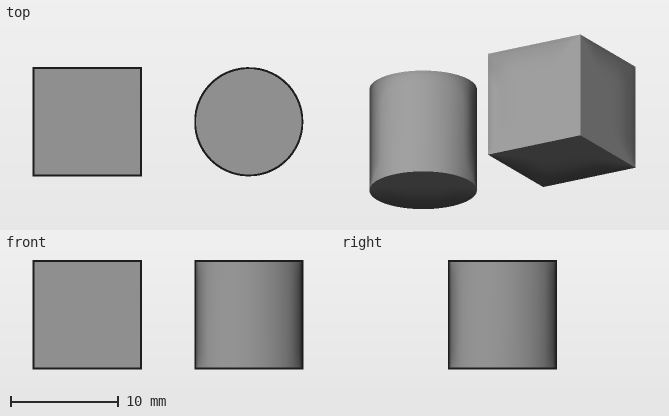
import cadquery as cq

body_size = 10.0
gap = 5.0

centre_spacing = body_size + gap


def make_cube():
    """Plain cube centred on the origin."""
    return cq.Workplane("XY").box(body_size, body_size, body_size)


def make_cylinder():
    """Upright plain cylinder, level with the cube."""
    return (
        cq.Workplane("XY")
        .center(centre_spacing, 0)
        .cylinder(body_size, body_size / 2)
    )


cube = make_cube()
cylinder = make_cylinder()

result = cq.Compound.makeCompound([cube.val(), cylinder.val()])